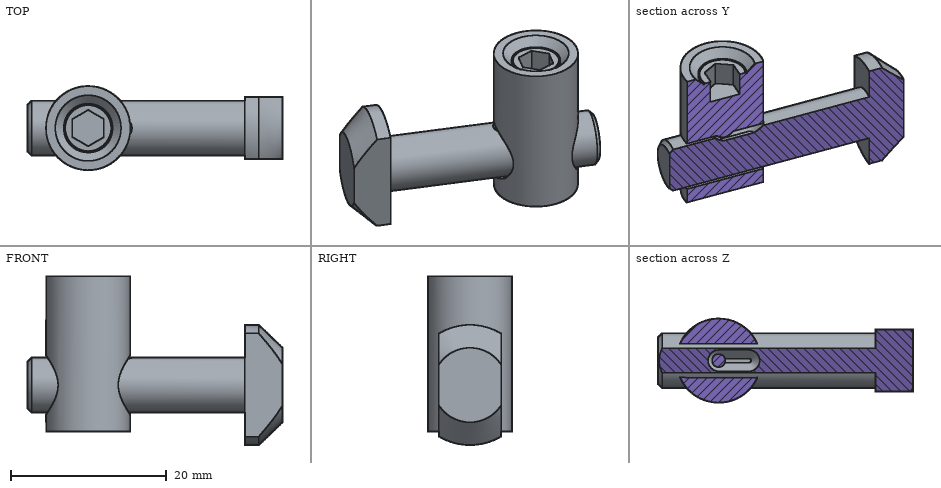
import cadquery as cq

sleeve_diameter = 10.85
sleeve_radius = sleeve_diameter / 2
sleeve_height = 20.0
cross_hole_radius = 3.8
countersink_radius = 4.23
countersink_depth = 1.08

screw_radius = 3.15
screw_chamfer = 0.2
hex_across_flats = 4.05
hex_depth = 3.28
screw_tip_end_radius = 0.25
screw_tip_radius_at_hole = 1.55

bolt_length = 32.8
bolt_start_x = -7.8
bolt_axis_z = 6.0
shank_radius = 3.55
shank_chamfer = 0.52
head_radius = 7.75
head_end_radius = 4.8
head_width = 8.0
head_length = 4.85
head_rim_length = 1.8

seat_half_width = 1.75
seat_depth = 1.48
seat_end_x = 5.65
seat_taper = 45.0

screw_top_z = sleeve_height - countersink_depth
cross_hole_top_z = bolt_axis_z + cross_hole_radius
shank_top_z = bolt_axis_z + shank_radius
shank_length = bolt_length - head_length
head_start_x = bolt_start_x + shank_length


def cone(bottom_radius, top_radius, bottom_z, height):
    """Upright cone frustum on the sleeve axis."""
    return cq.Workplane(cq.Solid.makeCone(bottom_radius, top_radius, height, cq.Vector(0, 0, bottom_z)))


def rod_along_x(radius, start_x, length):
    """Round rod on the bolt axis."""
    return cq.Workplane("YZ", origin=(start_x, 0, bolt_axis_z)).circle(radius).extrude(length)


def make_sleeve():
    """Sleeve with its countersunk set screw and cross hole."""
    body = cq.Workplane("XY").circle(sleeve_radius).extrude(sleeve_height)

    body = body.cut(cone(screw_radius, countersink_radius, screw_top_z, countersink_depth))

    rim_bottom_z = screw_top_z - screw_chamfer
    rim_space = cq.Workplane("XY", origin=(0, 0, rim_bottom_z)).circle(screw_radius).extrude(screw_chamfer)
    screw_end = cone(screw_radius, screw_radius - screw_chamfer, rim_bottom_z, screw_chamfer)
    body = body.cut(rim_space.cut(screw_end))

    socket = (
        cq.Workplane("XY", origin=(0, 0, screw_top_z))
        .polygon(6, hex_across_flats, circumscribed=True)
        .extrude(-hex_depth)
    )
    body = body.cut(socket)

    body = body.cut(rod_along_x(cross_hole_radius, -sleeve_radius, 2 * sleeve_radius))
    tip_bottom_z = cross_hole_top_z - (screw_tip_radius_at_hole - screw_tip_end_radius)
    tip_height = screw_radius - screw_tip_end_radius
    return body.union(cone(screw_tip_end_radius, screw_radius, tip_bottom_z, tip_height))


def make_head():
    """Round head with a conical end, cut to two parallel flats."""
    profile = [
        (head_start_x, 0),
        (head_start_x, head_radius),
        (head_start_x + head_rim_length, head_radius),
        (head_start_x + head_length, head_end_radius),
        (head_start_x + head_length, 0),
    ]
    disc = (
        cq.Workplane("XZ", origin=(0, 0, bolt_axis_z))
        .polyline(profile)
        .close()
        .revolve(360, (0, 0, 0), (1, 0, 0))
    )
    flats = (
        cq.Workplane("YZ", origin=(head_start_x, 0, bolt_axis_z))
        .rect(head_width, 2 * head_radius)
        .extrude(head_length)
    )
    return disc.intersect(flats)


def make_seat():
    """Round-ended tapered recess that clears the screw tip."""
    seat_start_x = -seat_half_width
    return (
        cq.Workplane("XY", origin=((seat_start_x + seat_end_x) / 2, 0, shank_top_z))
        .slot2D(seat_end_x - seat_start_x, 2 * seat_half_width)
        .extrude(-seat_depth, taper=seat_taper)
    )


def make_bolt():
    """T-bolt with a chamfered end and a seat for the screw tip."""
    shank = rod_along_x(shank_radius, bolt_start_x, shank_length).faces("<X").chamfer(shank_chamfer)
    return shank.union(make_head()).cut(make_seat())


sleeve = make_sleeve()
bolt = make_bolt()
result = cq.Compound.makeCompound([sleeve.solids().val(), bolt.solids().val()])